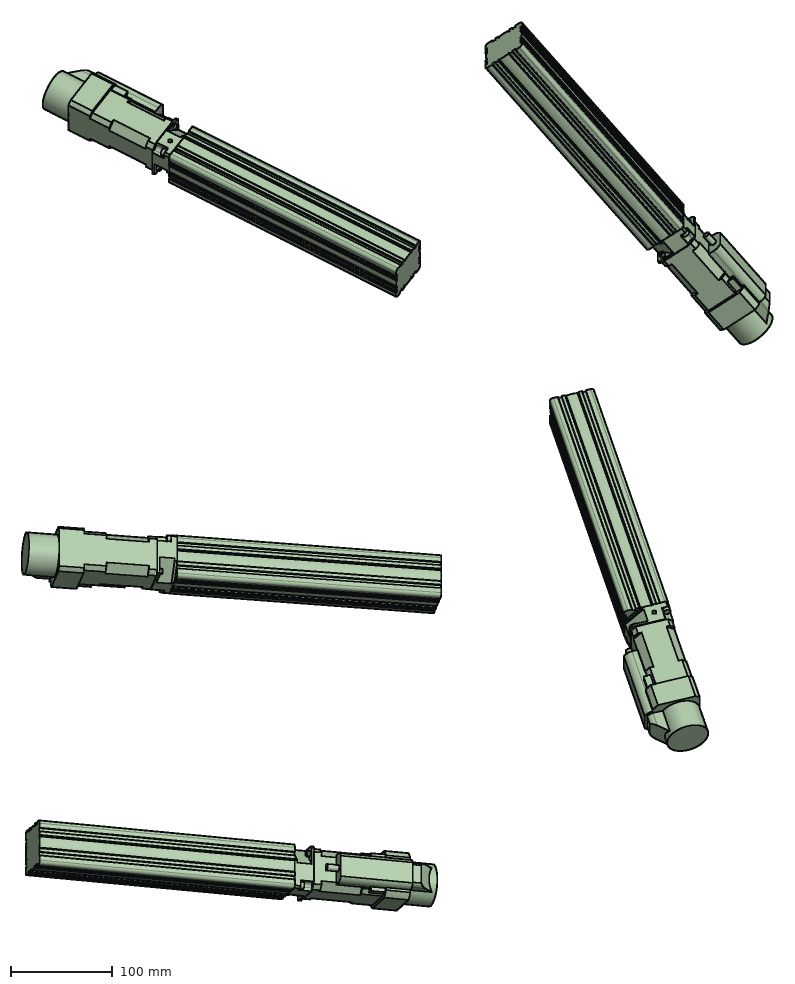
import cadquery as cq
import math

cap_start = 0.0
housing_start = 30.0
gear_start = 55.0
motor_start = 77.0
flange_start = 119.5
block_start = 127.5
rail_start = 147.5
rail_end = 410.5

motor_half = 21.0
gear_chamfer = 4.5
motor_chamfer = 8.2
housing_height = 48.0
housing_back = 27.0
housing_front_radius = 29.0
housing_back_radius = 32.5

box_end = 104.3
box_outer = 35.5
box_half_height = 15.0
box_arc_angle = 60
box_arc_radius = (box_outer - housing_back) / math.sin(math.radians(box_arc_angle))
hood_wall = 3.0
hood_crest_start = 20.5
cable_end = 116.0
cable_radius = 3.3
cable_y = 26.5
pad_length = 14.8
pad_outer = 25.0
pad_half_height = 19.3

block_half = 22.0
block_corner_chamfer = 2.0
pocket_start = 130.0
pocket_end = 145.0
pocket_reach = 25.5
step_reach = 28.0
notch_length = 13.5
notch_corner_radius = 4.0
notch_inner = 14.5
bolt_offset = 18.5
bolt_radius = 3.5
bolt_head_length = 3.5
nut_offset = 15.5
nut_radius = 3.0
nut_length = 3.5
nut_bevel = 1.0
hole_x = 138.5
hole_y = -5.7
hole_radius = 2.0
hole_depth = 8.2

rail_half = 22.5
rail_corner_radius = 3.5
groove_centre = 12.5
groove_width = 3.5
groove_depth = 2.0
core_half_width = 5.7
core_recess = 0.6
core_radius = rail_half - core_recess
slit_width = 1.03
slit_depth = 2.0


def section(x):
    """Workplane across the axis at station x, with local axes Y and Z."""
    return cq.Workplane("YZ", origin=(x, 0, 0))


def turned(body, angle):
    """Copy of a body turned about the drive axis."""
    return body.rotate((0, 0, 0), (1, 0, 0), angle)


def bar(start, end, half, chamfer):
    """Square bar along X with four chamfered long edges."""
    body = section(start).rect(2 * half, 2 * half).extrude(end - start)
    return body.edges("|X").chamfer(chamfer)


def rod(start, length, y, z, radius):
    """Round rod along X."""
    return section(start).center(y, z).circle(radius).extrude(length)


def block_between(start, end, y_low, y_high, half_height):
    """Box centred on z = 0."""
    size = (end - start, y_high - y_low, 2 * half_height)
    return cq.Workplane("XY").box(*size, centered=(False, False, True)).translate((start, y_low, 0))


def make_housing():
    """Motor housing whose corners are turned about the axis."""
    def rounded(y_side, radius):
        half = block_between(housing_start, gear_start, 0, y_side, housing_height / 2)
        return half.intersect(rod(housing_start, gear_start - housing_start, 0, 0, radius))

    back = rounded(housing_back, housing_back_radius)
    front = rounded(motor_half, housing_front_radius).mirror("XZ")
    return back.union(front)


def shell_profile(start, inner_y, inset):
    """Connector outline: flat top and bottom running into arcs at the outer face."""
    arc_radius = box_arc_radius - inset
    top = box_half_height - inset
    centre_z = top - arc_radius

    def on_arc(degrees):
        angle = math.radians(degrees)
        return housing_back + arc_radius * math.sin(angle), centre_z + arc_radius * math.cos(angle)

    mid_y, mid_z = on_arc(box_arc_angle / 2)
    end_y, end_z = on_arc(box_arc_angle)
    return (
        section(start).moveTo(inner_y, -top).lineTo(inner_y, top).lineTo(housing_back, top)
        .threePointArc((mid_y, mid_z), (end_y, end_z)).lineTo(end_y, -end_z)
        .threePointArc((mid_y, -mid_z), (housing_back, -top)).close()
    )


def make_connector():
    box = shell_profile(housing_start, motor_half, 0).extrude(box_end - housing_start)
    hood = shell_profile(cap_start, 0, hood_wall).extrude(housing_start - cap_start)
    crest_y = box_outer - hood_wall * math.sin(math.radians(box_arc_angle))
    run = hood_crest_start - cap_start
    slope = (
        cq.Workplane("XY", origin=(0, 0, -box_half_height))
        .polyline([(hood_crest_start, crest_y), (cap_start, crest_y), (cap_start, crest_y - run)])
        .close().extrude(2 * box_half_height)
    )
    cable = rod(box_end, cable_end - box_end, cable_y, 0, cable_radius)
    pad = block_between(gear_start, gear_start + pad_length, 0, pad_outer, pad_half_height)
    return box.union(hood.cut(slope)).union(cable).union(pad)


def corner_beyond(start, end, reach):
    """Prism that fills the +Y +Z corner of the block beyond the plane y + z = reach."""
    low = reach - 2 * block_half
    points = [(2 * block_half, low), (2 * block_half, 2 * block_half), (low, 2 * block_half)]
    return section(start).polyline(points).close().extrude(end - start)


def make_block():
    """Coupling block: two pockets and two bolt notches on opposite corners."""
    block = bar(block_start, rail_start, block_half, block_corner_chamfer)

    pocket = corner_beyond(pocket_start, pocket_end, pocket_reach)
    pocket = pocket.union(corner_beyond(pocket_end, rail_start, step_reach))
    nut = rod(pocket_start, nut_length, nut_offset, nut_offset, nut_radius)
    nut = nut.faces(">X").chamfer(nut_bevel)

    notch_size = block_half
    notch = (
        section(block_start)
        .center(-notch_inner - notch_size / 2, notch_inner + notch_size / 2)
        .rect(notch_size, notch_size).extrude(notch_length)
        .edges("|X").fillet(notch_corner_radius)
    )
    bolt_start = block_start + notch_length - bolt_head_length
    bolt = rod(bolt_start, bolt_head_length, -bolt_offset, bolt_offset, bolt_radius)

    for angle in (0, 180):
        block = block.cut(turned(pocket, angle))
        block = block.cut(turned(notch, angle))
        block = block.union(turned(nut, angle))
        block = block.union(turned(bolt, angle))

    hole = (
        cq.Workplane("XY", origin=(hole_x, hole_y, block_half - hole_depth))
        .circle(hole_radius).extrude(hole_depth)
    )
    return block.cut(hole)


def make_rail():
    """Extrusion with the same grooves and bowed middle strip on all four sides."""
    length = rail_end - rail_start
    rail = section(rail_start).rect(2 * rail_half, 2 * rail_half).extrude(length)
    rail = rail.edges("|X").fillet(rail_corner_radius)

    def channel(centre, width, depth):
        """Straight channel sunk into the +Z face, centred at y = centre."""
        return section(rail_start).center(centre, rail_half - depth / 2).rect(width, depth).extrude(length)

    bow = channel(0, 2 * core_half_width, rail_half)
    bow = bow.cut(rod(rail_start, length, 0, 0, core_radius))
    groove = channel(groove_centre, groove_width, groove_depth)
    slit = channel(core_half_width + slit_width / 2, slit_width, slit_depth)
    one_side = bow
    for cutter in (groove, slit):
        one_side = one_side.union(cutter).union(cutter.mirror("XZ"))
    for side in range(4):
        rail = rail.cut(turned(one_side, 90 * side))
    return rail


result = (
    rod(cap_start, housing_start, 0, 0, motor_half)
    .union(make_housing())
    .union(bar(gear_start, motor_start, motor_half, gear_chamfer))
    .union(bar(motor_start, flange_start, motor_half, motor_chamfer))
    .union(bar(flange_start, block_start, motor_half, gear_chamfer))
    .union(make_connector())
    .union(make_block())
    .union(make_rail())
)